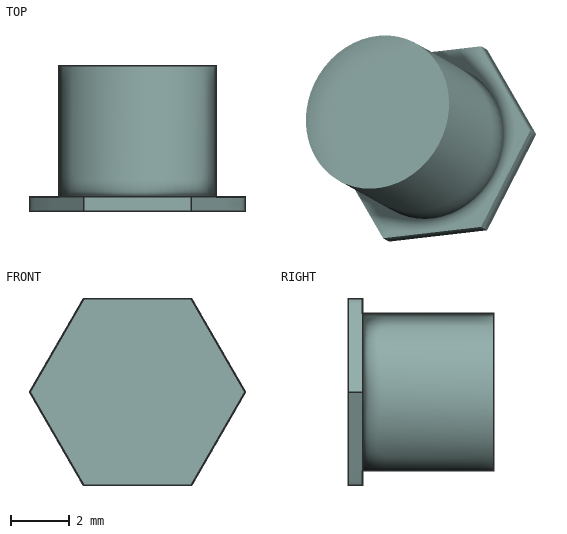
import cadquery as cq
import math

head_across_flats = 6.4
head_thickness = 0.5
shank_diameter = 5.4
overall_length = 5.0

head_across_corners = head_across_flats / math.cos(math.pi / 6)
shank_length = overall_length - head_thickness


def hex_head():
    """Hexagonal plate with corners on the X axis, from Y = 0 to +Y."""
    outline = cq.Workplane("XZ").polygon(6, head_across_corners)
    return outline.extrude(-head_thickness)


def add_shank(body):
    """Plain round shank continuing from the head's +Y face."""
    shank = (
        cq.Workplane("XZ", origin=(0, head_thickness, 0))
        .circle(shank_diameter / 2)
        .extrude(-shank_length)
    )
    return body.union(shank)


result = add_shank(hex_head())